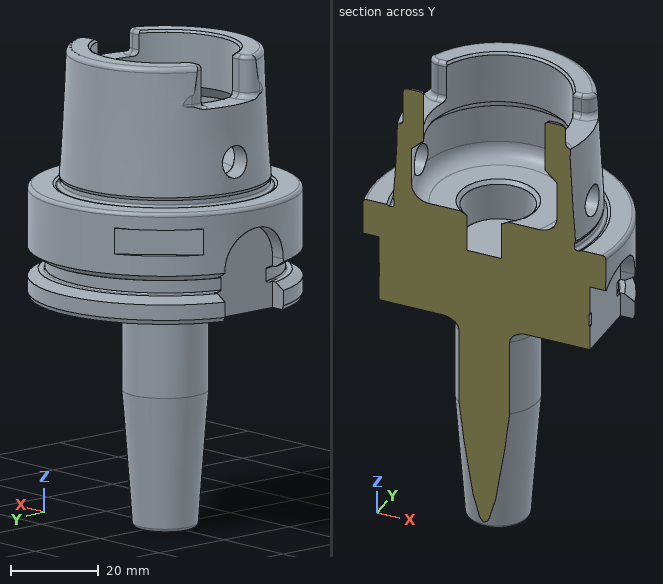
import cadquery as cq
import math


overall_length = 112.0
shank_length = 32.0
flange_thickness = 26.0
nose_cone_length = 31.9
tip_z = shank_length - overall_length

shank_base_radius = 24.3
shank_taper = 0.05
shank_top_radius = shank_base_radius - shank_taper * shank_length
shank_edge_round = 1.2

undercut_top = 2.0
undercut_slope_end = 1.3
undercut_depth = 0.3
undercut_radius = 24.0
undercut_fillet = 0.7
recess_floor_radius = 25.0
recess_rim_radius = 25.6

flange_radius = 63.0 / 2
flange_top_round = 0.9
flange_bottom_chamfer_height = 1.0
flange_bottom_chamfer_width = 0.3
groove_middle_z = -18.0
groove_mouth_width = 6.7
groove_floor_width = 3.6
groove_shoulder_radius = 29.0
groove_floor_radius = 27.4
groove_fillet = 0.3

neck_radius = 10.0
neck_fillet = 3.0
tip_radius = 7.5
tip_round = 0.9

mouth_radius = 17.0
mouth_chamfer = 0.6
mouth_depth = 13.0
chamber_radius = 19.7
chamber_depth = 29.1
chamber_fillet = 3.9
pilot_radius = 8.7
pilot_chamfer = 0.9
pilot_depth = 10.1
cross_hole_diameter = 7.5
cross_hole_z = 9.0

slot_width = 12.5
slot_depth_minus_x = 10.0
slot_depth_plus_x = 5.8
slot_floor_fillet = 1.3
slot_corner_radius = 2.8
slot_corner_x = 18.0
slot_edge_round = 1.0
slot_rim_reach = 15.7

keyway_width = 17.9
keyway_floor = 26.5
keyway_top_z = -5.0
notch_wall = 19.9
notch_arch_radius = 8.0
notch_arch_z = -12.2
flat_distance = 29.8
flat_top_z = -3.9
flat_bottom_z = -10.0


def revolved_body():
    """Solid of revolution: shank, undercut, grooved flange, neck and nose cone."""
    groove_mouth_top = groove_middle_z + groove_mouth_width / 2
    groove_mouth_bottom = groove_middle_z - groove_mouth_width / 2
    groove_floor_top = groove_middle_z + groove_floor_width / 2
    groove_floor_bottom = groove_middle_z - groove_floor_width / 2
    quarter = math.sqrt(0.5)
    round_middle = flange_top_round * (1 - quarter)
    edge_middle = shank_edge_round * (1 - quarter)
    undercut_arc_middle = undercut_fillet * (1 - quarter)
    groove_arc_middle = groove_fillet * (1 - quarter)
    neck_arc_middle = neck_fillet * (1 - quarter)
    profile = (
        cq.Workplane("XZ")
        .moveTo(0, shank_length)
        .lineTo(shank_top_radius - shank_edge_round, shank_length)
        .threePointArc(
            (shank_top_radius - edge_middle, shank_length - edge_middle),
            (shank_top_radius, shank_length - shank_edge_round),
        )
        .lineTo(shank_base_radius - shank_taper * undercut_top, undercut_top)
        .lineTo(undercut_radius, undercut_slope_end)
        .lineTo(undercut_radius, -undercut_depth + undercut_fillet)
        .threePointArc(
            (undercut_radius + undercut_arc_middle, -undercut_depth + undercut_arc_middle),
            (undercut_radius + undercut_fillet, -undercut_depth),
        )
        .lineTo(recess_floor_radius, -undercut_depth)
        .lineTo(recess_rim_radius, 0)
        .lineTo(flange_radius - flange_top_round, 0)
        .threePointArc((flange_radius - round_middle, -round_middle), (flange_radius, -flange_top_round))
        .lineTo(flange_radius, groove_mouth_top)
        .lineTo(groove_shoulder_radius, groove_floor_top)
        .lineTo(groove_floor_radius + groove_fillet, groove_floor_top)
        .threePointArc(
            (groove_floor_radius + groove_arc_middle, groove_floor_top - groove_arc_middle),
            (groove_floor_radius, groove_floor_top - groove_fillet),
        )
        .lineTo(groove_floor_radius, groove_floor_bottom + groove_fillet)
        .threePointArc(
            (groove_floor_radius + groove_arc_middle, groove_floor_bottom + groove_arc_middle),
            (groove_floor_radius + groove_fillet, groove_floor_bottom),
        )
        .lineTo(groove_shoulder_radius, groove_floor_bottom)
        .lineTo(flange_radius, groove_mouth_bottom)
        .lineTo(flange_radius, -flange_thickness + flange_bottom_chamfer_height)
        .lineTo(flange_radius - flange_bottom_chamfer_width, -flange_thickness)
        .lineTo(neck_radius + neck_fillet, -flange_thickness)
        .threePointArc(
            (neck_radius + neck_arc_middle, -flange_thickness - neck_arc_middle),
            (neck_radius, -flange_thickness - neck_fillet),
        )
        .lineTo(neck_radius, tip_z + nose_cone_length)
        .lineTo(tip_radius, tip_z)
        .lineTo(0, tip_z)
        .close()
    )
    return profile.revolve(360, (0, 0, 0), (0, 1, 0)).faces("<Z").edges().fillet(tip_round)


def clamping_bore():
    """Mouth, wider chamber with a rounded floor corner, and a chamfered pilot hole."""
    chamber_floor_z = shank_length - chamber_depth
    mouth_end_z = shank_length - mouth_depth
    shoulder_height = chamber_radius - mouth_radius
    fillet_middle = chamber_fillet * (1 - math.sqrt(0.5))
    profile = (
        cq.Workplane("XZ")
        .moveTo(0, shank_length)
        .lineTo(mouth_radius + mouth_chamfer, shank_length)
        .lineTo(mouth_radius, shank_length - mouth_chamfer)
        .lineTo(mouth_radius, mouth_end_z)
        .lineTo(chamber_radius, mouth_end_z - shoulder_height)
        .lineTo(chamber_radius, chamber_floor_z + chamber_fillet)
        .threePointArc(
            (chamber_radius - fillet_middle, chamber_floor_z + fillet_middle),
            (chamber_radius - chamber_fillet, chamber_floor_z),
        )
        .lineTo(pilot_radius + pilot_chamfer, chamber_floor_z)
        .lineTo(pilot_radius, chamber_floor_z - pilot_chamfer)
        .lineTo(pilot_radius, chamber_floor_z - pilot_depth)
        .lineTo(0, chamber_floor_z - pilot_depth)
        .close()
    )
    return profile.revolve(360, (0, 0, 0), (0, 1, 0))


def drive_slot(side, depth):
    """Slot cutter on the +X (side = 1) or -X (side = -1) half, flaring round the outer corners."""
    half_width = slot_width / 2
    corner_y = half_width + slot_corner_radius
    angle = math.atan2(corner_y, slot_corner_x)
    arc_end_x = slot_corner_x + slot_corner_radius * math.cos(angle)
    arc_end_y = corner_y + slot_corner_radius * math.sin(angle)
    middle_angle = (angle - math.pi / 2) / 2
    arc_middle_x = slot_corner_x + slot_corner_radius * math.cos(middle_angle)
    arc_middle_y = corner_y + slot_corner_radius * math.sin(middle_angle)
    tangent_run = 11.2
    run_end_x = arc_end_x - tangent_run * math.sin(angle)
    run_end_y = arc_end_y + tangent_run * math.cos(angle)
    outer_x = flange_radius
    outline = (
        cq.Workplane("XY", origin=(0, 0, shank_length - depth))
        .moveTo(0, -half_width)
        .lineTo(side * slot_corner_x, -half_width)
        .threePointArc((side * arc_middle_x, -arc_middle_y), (side * arc_end_x, -arc_end_y))
        .lineTo(side * run_end_x, -run_end_y)
        .lineTo(side * outer_x, -run_end_y)
        .lineTo(side * outer_x, run_end_y)
        .lineTo(side * run_end_x, run_end_y)
        .lineTo(side * arc_end_x, arc_end_y)
        .threePointArc((side * arc_middle_x, arc_middle_y), (side * slot_corner_x, half_width))
        .lineTo(0, half_width)
        .close()
    )
    return outline.extrude(2 * depth).faces("<Z").edges().fillet(slot_floor_fillet)


def keyway(side):
    """Round-topped keyway through the flange rim on the +X or -X side."""
    arch_z = keyway_top_z - keyway_width / 2
    height = flange_thickness + arch_z
    depth = flange_radius - keyway_floor
    middle_x = side * (keyway_floor + depth / 2)
    arch = cq.Workplane("YZ").center(0, arch_z).circle(keyway_width / 2).extrude(depth / 2, both=True)
    channel = cq.Workplane("XY").box(depth, keyway_width, height).translate((0, 0, arch_z - height / 2))
    return arch.union(channel).translate((middle_x, 0, 0))


def rim_notch():
    """Arched corner notch on the +X, -Y side of the rim."""
    height = flange_thickness + notch_arch_z
    depth = flange_radius - notch_wall
    arch_y = -notch_wall - notch_arch_radius
    arch = (
        cq.Workplane("YZ", origin=(notch_wall, 0, 0))
        .center(arch_y, notch_arch_z)
        .circle(notch_arch_radius)
        .extrude(depth)
    )
    channel = (
        cq.Workplane("XY", origin=(notch_wall, arch_y, -flange_thickness))
        .box(depth, 2 * notch_arch_radius, height, centered=(False, True, False))
    )
    return arch.union(channel)


def rim_flat():
    """Flat pocket on the rim facing midway between -X and +Y."""
    return (
        cq.Workplane("XY", origin=(0, 0, flat_bottom_z))
        .box(flange_radius, 2 * flange_radius, flat_top_z - flat_bottom_z, centered=(False, True, False))
        .translate((flat_distance, 0, 0))
        .rotate((0, 0, 0), (0, 0, 1), 135)
    )


def drive_end_cutter():
    """Both drive slots, widened at the open end so that the walls between them get rounded rims."""
    height = slot_depth_minus_x + slot_floor_fillet
    envelope = cq.Workplane("XY", origin=(0, 0, shank_length - height)).circle(shank_base_radius).extrude(height)
    lobes = envelope.cut(drive_slot(-1, slot_depth_minus_x)).cut(drive_slot(1, slot_depth_plus_x))
    wall_rims = lobes.faces(">Z").edges(cq.selectors.BoxSelector(
        (-shank_base_radius, -slot_rim_reach, shank_length - slot_edge_round),
        (shank_base_radius, slot_rim_reach, shank_length + slot_edge_round),
    ))
    return envelope.cut(wall_rims.fillet(slot_edge_round))


body = revolved_body().cut(clamping_bore()).cut(drive_end_cutter())

cross_hole = (
    cq.Workplane("YZ")
    .center(0, cross_hole_z)
    .circle(cross_hole_diameter / 2)
    .extrude(shank_base_radius, both=True)
)
body = body.cut(cross_hole)

for side in (-1, 1):
    body = body.cut(keyway(side))
body = body.cut(rim_notch()).cut(rim_flat())

result = body